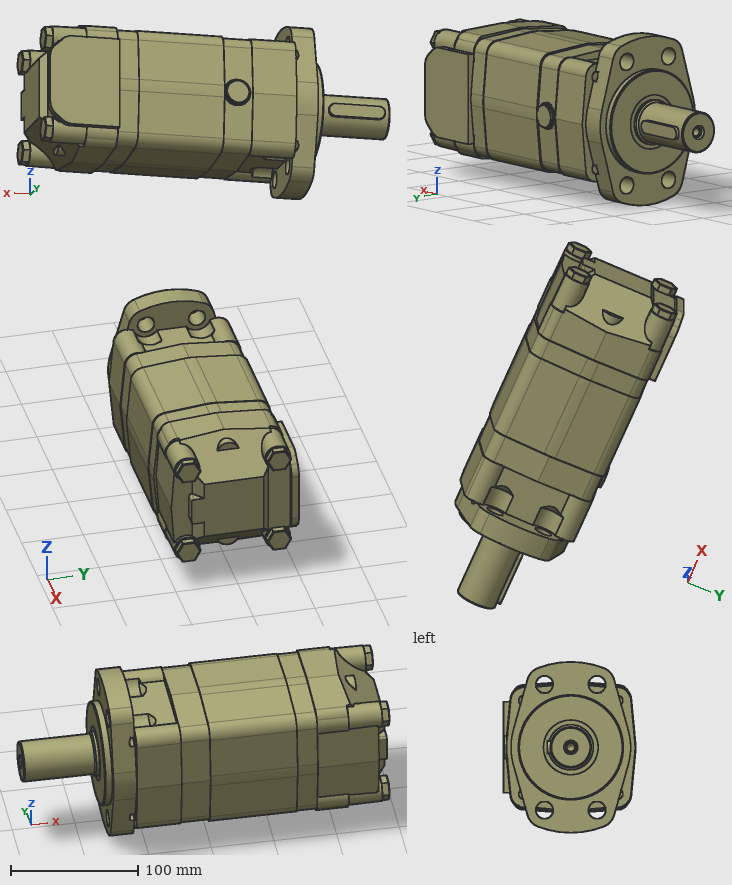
import cadquery as cq
import math


shaft_shoulder_x = 56.5
pilot_x = 60.0
flange_x = 66.0
front_x = 84.3
spacer_x = 120.0
gear_ring_x = 142.8
plate_x = 212.2
cover_x = 228.5
slope_x = 253.8
side_end_x = 277.5
boss_end_x = 280.8
cover_end_x = 286.5
overall_length = 286.8

shaft_d = 32.0
shaft_chamfer = 1.0
collar_d = 35.5
collar_cone = 1.1
journal_d = 43.0
key_x = 4.5
key_length = 45.3
key_width = 10.0
key_top_y = 18.5
centre_mouth_d = 11.0
centre_recess_d = 8.3
centre_drill_d = 6.5
centre_cone_depth = 1.7
centre_recess_depth = 3.5
centre_drill_depth = 17.2

pilot_d = 82.5
pilot_chamfer = 1.0
flange_half_width = 47.0
flange_height = 134.5
flange_top_radius = 71.0
flange_side_radius = 50.0
flange_corner_radius = 14.0
mount_y = 20.6
mount_z = 49.3
mount_hole_d = 13.5

bolt_offset = 36.7
bolt_d = 8.3
bolt_positions = [(y, z) for y in (-bolt_offset, bolt_offset) for z in (-bolt_offset, bolt_offset)]
face_tilt = math.radians(5.4)
boss_d = 21.0
spacer_corner_d = 19.5
gear_corner_d = 22.0

recess_floor_z = 42.7
nut_clearance_d = 22.0
nut_clearance_depth = 15.5
tap_depth = 3.2
tap_tip_length = 2.0
plug_x = 132.2
plug_seat_d = 21.0
plug_seat_y = 48.2
plug_washer_d = 18.5
plug_head_d = 18.0
plug_washer_height = 2.0
plug_height = 4.0
plug_sides = 24

cover_boss_front_d = 22.0
cover_boss_end_d = 20.5
cover_ridge_z = 52.0
cover_ridge_y = 48.8
cover_face_slope = 0.075
cover_corner_radius = 8.5
back_half = 24.0
back_slope = (cover_ridge_z - back_half) / (cover_end_x - slope_x)
bump_d = 18.5
bump_end_x = 266.7
bump_top_z = 47.0
rib_half_width = 11.2
rib_y = 34.5
rib_edge_radius = 2.0
port_y = 53.0
port_base_y = 47.0
port_half_height = 35.8
port_taper_x = 266.7
port_slant_x = 275.3
port_round_x = 280.5
port_end_x = 284.8

head_flats = 17.0
head_chamfer = 0.5

BIG = 172.0


def section(x):
    """Workplane across the motor axis; its local axes are Y and Z."""
    return cq.Workplane("YZ", origin=(x, 0, 0))


def bar(diameter, x_start, x_end, positions=((0, 0),)):
    """Round bars along X."""
    return section(x_start).pushPoints(positions).circle(diameter / 2).extrude(x_end - x_start)


def turned(points):
    """Solid of revolution about X from (x, radius) points; the outline closes along the axis."""
    return cq.Workplane("XY").polyline(points).close().revolve(360, (0, 0, 0), (1, 0, 0))


def drill_tip(diameter, tip_x, depth, positions=((0, 0),)):
    """Cones along X that narrow to a point at tip_x, opening toward +X for a positive depth."""
    tip = turned([(tip_x, 0), (tip_x + depth, 0), (tip_x + depth, diameter / 2)])
    tips = [tip.translate((0, y, z)).val() for y, z in positions]
    return cq.Workplane("YZ").newObject(tips).combine()


def rotated(point, quarter_turns):
    y, z = point
    for _ in range(quarter_turns):
        y, z = -z, y
    return y, z


def body_section(corner_d, x_start, x_end, round_ridge):
    """Four-sided block whose corners are concentric with the bolts and whose sides rise to a ridge."""
    radius = corner_d / 2
    sin, cos = math.sin(face_tilt), math.cos(face_tilt)
    face_distance = bolt_offset * (sin + cos) + radius
    corner_start = (bolt_offset + radius * cos, bolt_offset + radius * sin)
    corner_mid = (bolt_offset + radius * math.sqrt(0.5), bolt_offset + radius * math.sqrt(0.5))
    corner_end = (bolt_offset + radius * sin, bolt_offset + radius * cos)
    outline = section(x_start).moveTo(*corner_start)
    for turn in range(4):
        outline = outline.threePointArc(rotated(corner_mid, turn), rotated(corner_end, turn))
        if round_ridge:
            outline = outline.lineTo(*rotated((face_distance * sin, face_distance * cos), turn))
            ridge_end = rotated((-face_distance * sin, face_distance * cos), turn)
            outline = outline.threePointArc(rotated((0, face_distance), turn), ridge_end)
        else:
            outline = outline.lineTo(*rotated((0, face_distance / cos), turn))
        if turn < 3:
            outline = outline.lineTo(*rotated(corner_start, turn + 1))
    return outline.close().extrude(x_end - x_start)


def make_shaft():
    radius = shaft_d / 2
    shaft = turned([
        (0, 0),
        (0, radius - shaft_chamfer),
        (shaft_chamfer, radius),
        (shaft_shoulder_x, radius),
        (shaft_shoulder_x + collar_cone, collar_d / 2),
        (pilot_x, collar_d / 2),
        (pilot_x, journal_d / 2),
        (front_x, journal_d / 2),
        (front_x, 0),
    ])
    key = (
        cq.Workplane("XZ", origin=(key_x + key_length / 2, 0, 0))
        .slot2D(key_length, key_width)
        .extrude(-key_top_y)
    )
    return shaft.union(key).cut(centre_hole())


def centre_hole():
    return turned([
        (0, 0),
        (0, centre_mouth_d / 2),
        (centre_cone_depth, centre_recess_d / 2),
        (centre_recess_depth, centre_recess_d / 2),
        (centre_recess_depth, centre_drill_d / 2),
        (centre_drill_depth, centre_drill_d / 2),
        (centre_drill_depth + centre_drill_d / 2, 0),
    ])


def make_flange():
    """Oval plate: top, corner and side arcs, with straight flanks tangent to corner and side arcs."""
    half_height = flange_height / 2
    side_centre_y = flange_half_width - flange_side_radius
    top_centre_z = half_height - flange_top_radius
    across = math.hypot(mount_y - side_centre_y, mount_z)
    flank_angle = math.atan2(mount_z, mount_y - side_centre_y) - math.acos(
        (flange_side_radius - flange_corner_radius) / across
    )
    top_angle = math.atan2(mount_z - top_centre_z, mount_y)

    def corner_point(angle):
        return (
            mount_y + flange_corner_radius * math.cos(angle),
            mount_z + flange_corner_radius * math.sin(angle),
        )

    flank_y = side_centre_y + flange_side_radius * math.cos(flank_angle)
    flank_z = flange_side_radius * math.sin(flank_angle)
    low_y, low_z = corner_point(flank_angle)
    mid_y, mid_z = corner_point((flank_angle + top_angle) / 2)
    top_y, top_z = corner_point(top_angle)

    outline = section(flange_x).moveTo(top_y, top_z)
    for sign in (1, -1):
        outline = (
            outline.threePointArc((sign * mid_y, sign * mid_z), (sign * low_y, sign * low_z))
            .lineTo(sign * flank_y, sign * flank_z)
            .threePointArc((sign * flange_half_width, 0), (sign * flank_y, -sign * flank_z))
            .lineTo(sign * low_y, -sign * low_z)
            .threePointArc((sign * mid_y, -sign * mid_z), (sign * top_y, -sign * top_z))
            .threePointArc((0, -sign * half_height), (-sign * top_y, -sign * top_z))
        )
    return outline.close().extrude(front_x - flange_x)


def make_neck():
    """Section with flat floors above and below, between round bolt bosses."""
    length = spacer_x - front_x
    between_floors = section(front_x).rect(BIG, 2 * recess_floor_z).extrude(length)
    core = body_section(boss_d, front_x, spacer_x, False).intersect(between_floors)
    return core.union(bar(boss_d, front_x, spacer_x, bolt_positions))


def make_housing():
    pilot = bar(pilot_d, pilot_x, flange_x).faces("<X").chamfer(pilot_chamfer)
    spacer = body_section(spacer_corner_d, spacer_x, gear_ring_x, False)
    housing = pilot.union(make_flange()).union(make_neck()).union(spacer)

    mounts = [(y, z) for y in (-mount_y, mount_y) for z in (-mount_z, mount_z)]
    clearance_end_x = front_x + nut_clearance_depth
    housing = housing.cut(bar(mount_hole_d, flange_x, front_x, mounts))
    housing = housing.cut(bar(nut_clearance_d, front_x, clearance_end_x, mounts))
    tip_length = nut_clearance_d / 2
    housing = housing.cut(drill_tip(nut_clearance_d, clearance_end_x + tip_length, -tip_length, mounts))

    tap_end_x = front_x - tap_depth
    housing = housing.cut(bar(bolt_d, tap_end_x, gear_ring_x, bolt_positions))
    housing = housing.cut(drill_tip(bolt_d, tap_end_x - tap_tip_length, tap_tip_length, bolt_positions))
    housing = housing.cut(bar(journal_d, pilot_x, front_x))

    seat = cq.Workplane("XZ", origin=(plug_x, plug_seat_y, 0)).circle(plug_seat_d / 2).extrude(-BIG)
    return housing.cut(seat)


def make_plug():
    base = cq.Workplane("XZ", origin=(plug_x, plug_seat_y, 0))
    washer = base.polygon(plug_sides, plug_washer_d).extrude(-plug_washer_height)
    return washer.union(base.polygon(plug_sides, plug_head_d).extrude(-plug_height))


def make_gear_ring():
    ring = body_section(gear_corner_d, gear_ring_x, plate_x, True)
    return ring.cut(bar(bolt_d, gear_ring_x, plate_x, bolt_positions))


def make_plate():
    plate = body_section(boss_d, plate_x, cover_x, True)
    return plate.cut(bar(bolt_d, plate_x, cover_x, bolt_positions))


def cover_block():
    """Ridged block with rounded corners."""
    corner_y = (cover_ridge_y - cover_face_slope * cover_ridge_z) / (1 - cover_face_slope**2)
    corner_z = cover_ridge_z - cover_face_slope * corner_y
    outline = [
        (cover_ridge_y, 0),
        (corner_y, corner_z),
        (0, cover_ridge_z),
        (-corner_y, corner_z),
        (-cover_ridge_y, 0),
        (-corner_y, -corner_z),
        (0, -cover_ridge_z),
        (corner_y, -corner_z),
    ]
    block = section(cover_x).polyline(outline).close().extrude(cover_end_x - cover_x)
    mid_x = (cover_x + cover_end_x) / 2
    for y, z in [(corner_y, corner_z), (-corner_y, corner_z), (-corner_y, -corner_z), (corner_y, -corner_z)]:
        corner = cq.selectors.NearestToPointSelector((mid_x, y, z))
        block = block.edges("|X").edges(corner).fillet(cover_corner_radius)
    return block


def back_slopes(plane):
    """Prism that narrows toward the back face, bounded in the second axis of the given plane."""
    return (
        cq.Workplane(plane)
        .polyline([
            (cover_x, cover_ridge_z),
            (slope_x, cover_ridge_z),
            (cover_end_x, back_half),
            (cover_end_x, -back_half),
            (slope_x, -cover_ridge_z),
            (cover_x, -cover_ridge_z),
        ])
        .close()
        .extrude(BIG, both=True)
    )


def side_back_cut(y_sign, x_start):
    """Removes what stands outside the side slope behind x_start."""
    box = cq.Workplane("XY").box(BIG, BIG, BIG).translate((x_start + BIG / 2, y_sign * BIG / 2, 0))
    return box.cut(back_slopes("XY"))


def corner_reliefs():
    """Squares outward of the bolt axes, clearing the block corners behind the start of the slope."""
    relief = section(slope_x).rect(BIG, BIG).extrude(BIG)
    flats = cq.Workplane("XY").box(BIG * 4, 2 * bolt_offset, BIG * 2)
    uprights = cq.Workplane("XY").box(BIG * 4, BIG * 2, 2 * bolt_offset)
    return relief.cut(flats).cut(uprights)


def boss_cones():
    """Slightly tapered rear stretches of the bolt bosses."""
    cone = turned([
        (slope_x, 0),
        (slope_x, boss_d / 2),
        (boss_end_x, cover_boss_end_d / 2),
        (boss_end_x, 0),
    ])
    cones = [cone.translate((0, y, z)).val() for y, z in bolt_positions]
    return cq.Workplane("YZ").newObject(cones).combine()


def port_face():
    """Raised port pad on the +Y side with a rounded rear end."""
    slant = math.atan(back_slope)
    sin, cos = math.sin(slant), math.cos(slant)
    slant_z = port_half_height - (port_slant_x - port_taper_x) * (1 - cos) / sin
    round_z = slant_z - (port_round_x - port_slant_x) * back_slope
    end_radius = (port_end_x - port_round_x) / (1 - sin)
    half = (
        cq.Workplane("XZ", origin=(0, port_base_y, 0))
        .moveTo(cover_x, 0)
        .lineTo(cover_x, port_half_height)
        .lineTo(port_taper_x, port_half_height)
        .tangentArcPoint((port_slant_x, slant_z), relative=False)
        .lineTo(port_round_x, round_z)
        .tangentArcPoint((port_end_x, round_z - end_radius * cos), relative=False)
        .lineTo(port_end_x, 0)
        .close()
        .extrude(port_base_y - port_y)
    )
    return half.union(half.mirror("XY"))


def make_cover():
    cover = cover_block().intersect(back_slopes("XZ"))
    cover = cover.cut(side_back_cut(-1, side_end_x)).cut(side_back_cut(1, boss_end_x))
    cover = cover.cut(corner_reliefs())
    cover = cover.union(bar(cover_boss_front_d, cover_x, slope_x, bolt_positions)).union(boss_cones())
    bump_z = bump_top_z - bump_d / 2
    cover = cover.union(bar(bump_d, slope_x, bump_end_x, [(0, -bump_z), (0, bump_z)]))
    rib_length = cover_end_x - slope_x
    rib = cq.Workplane("XY").box(rib_length, rib_y, 2 * rib_half_width, centered=(False, False, True))
    rib = rib.translate((slope_x, -rib_y, 0)).edges("|X and <Y").fillet(rib_edge_radius)
    cover = cover.union(rib).union(port_face())
    return cover.cut(bar(bolt_d, cover_x, boss_end_x, bolt_positions))


def make_bolt(y, z):
    head = section(boss_end_x).polygon(6, head_flats, circumscribed=True)
    head = head.extrude(overall_length - boss_end_x).faces(">X").chamfer(head_chamfer)
    head = head.rotate((0, 0, 0), (1, 0, 0), 90)
    return head.union(bar(bolt_d, front_x, boss_end_x)).translate((0, y, z))


shaft = make_shaft()
housing = make_housing()
plug = make_plug()
gear_ring = make_gear_ring()
plate = make_plate()
cover = make_cover()
bolts = [make_bolt(y, z) for y, z in bolt_positions]

bodies = [shaft, housing, plug, gear_ring, plate, cover] + bolts
result = cq.Compound.makeCompound([body.solids().val() for body in bodies])